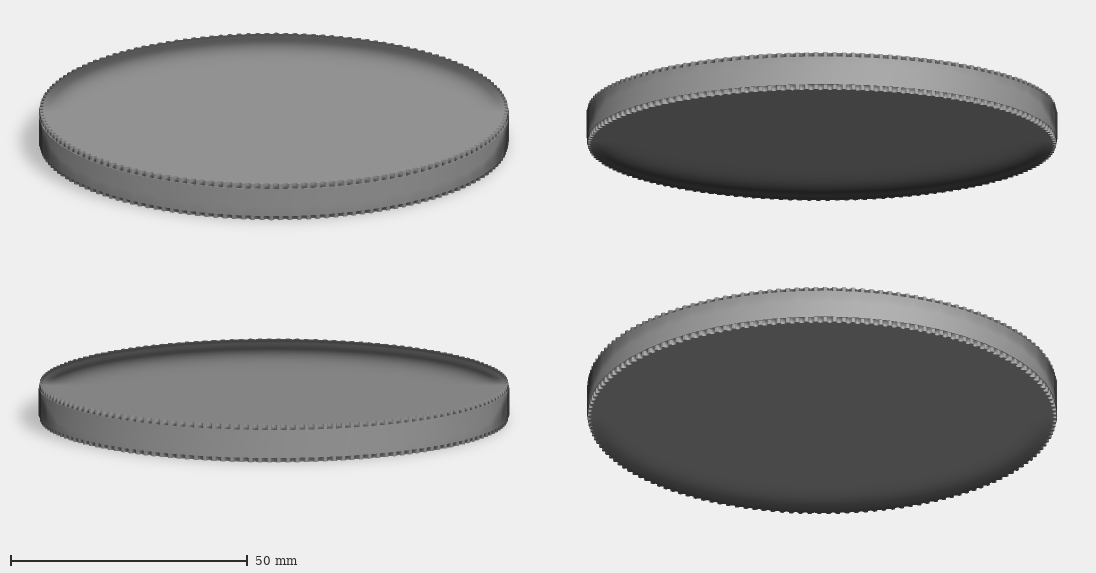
import cadquery as cq
import math

tooth_count = 156
tooth_pitch = 2.0
height = 8.0
pitch_radius = tooth_count * tooth_pitch / (2 * math.pi)

band_height = 6.0
band_thickness = 0.254
tip_radius = pitch_radius - band_thickness

gap_depth = 0.75
bottom_arc_radius = 0.57
flank_arc_radius = 1.0
corner_radius = 0.18
bottom_centre_radius = tip_radius - gap_depth + bottom_arc_radius
corner_centre_radius = tip_radius - corner_radius

flank_centre_offset = math.sqrt(
    (flank_arc_radius - bottom_arc_radius) ** 2 - (tip_radius - bottom_centre_radius) ** 2
)


def polar(radius, angle):
    """Point at a radius and an angle around the disc axis."""
    return cq.Vector(radius * math.cos(angle), radius * math.sin(angle))


def point_between(centre, radius, first, second):
    """Point halfway along an arc whose ends lie in two unit directions."""
    return centre + (first + second).normalized() * radius


def gap_side():
    """Points down one side of a gap centred on the X axis, from tooth tip to bottom arc."""
    flank_centre = cq.Vector(tip_radius, -flank_centre_offset)
    bottom_centre = cq.Vector(bottom_centre_radius, 0)

    flank_centre_distance = flank_centre.Length
    centre_spacing = flank_arc_radius + corner_radius
    angle_between = math.acos(
        (corner_centre_radius**2 + flank_centre_distance**2 - centre_spacing**2)
        / (2 * corner_centre_radius * flank_centre_distance)
    )
    corner_angle = angle_between - math.atan2(flank_centre_offset, tip_radius)
    corner_centre = polar(corner_centre_radius, corner_angle)

    outward = polar(1, corner_angle)
    flank_to_corner = (corner_centre - flank_centre).normalized()
    corner_to_flank = flank_to_corner * -1
    flank_to_bottom = (bottom_centre - flank_centre).normalized()
    return [
        polar(tip_radius, corner_angle),
        point_between(corner_centre, corner_radius, outward, corner_to_flank),
        corner_centre + corner_to_flank * corner_radius,
        point_between(flank_centre, flank_arc_radius, flank_to_corner, flank_to_bottom),
        flank_centre + flank_to_bottom * flank_arc_radius,
    ]


def gap_profile():
    """Points across a whole gap in order of angle; every second one is an arc's middle."""
    upper_side = gap_side()
    lower_side = [cq.Vector(point.x, -point.y) for point in upper_side]
    bottom = cq.Vector(tip_radius - gap_depth, 0)
    return lower_side + [bottom] + upper_side[::-1]


def turned(point, angle):
    """Plane coordinates of a point turned about the disc axis."""
    cosine = math.cos(angle)
    sine = math.sin(angle)
    return (point.x * cosine - point.y * sine, point.x * sine + point.y * cosine)


def toothed_disc():
    """Full-height disc with a tooth centred on each of the X and Y axes."""
    tooth_angle = 2 * math.pi / tooth_count
    profile = gap_profile()
    tooth_tip = cq.Vector(tip_radius, 0)
    outline = cq.Workplane("XY").workplane(offset=-height / 2)
    outline = outline.moveTo(*turned(profile[-1], -tooth_angle / 2))
    for index in range(tooth_count):
        angle = index * tooth_angle
        gap_angle = angle + tooth_angle / 2
        outline = outline.threePointArc(turned(tooth_tip, angle), turned(profile[0], gap_angle))
        for middle, end in zip(profile[1::2], profile[2::2]):
            outline = outline.threePointArc(turned(middle, gap_angle), turned(end, gap_angle))
    return outline.close().extrude(height)


def band():
    """Thin ring, centred on the height, that closes the tooth gaps at the tips."""
    ring = cq.Workplane("XY").workplane(offset=-band_height / 2)
    return ring.circle(pitch_radius).circle(tip_radius).extrude(band_height)


result = toothed_disc().union(band())